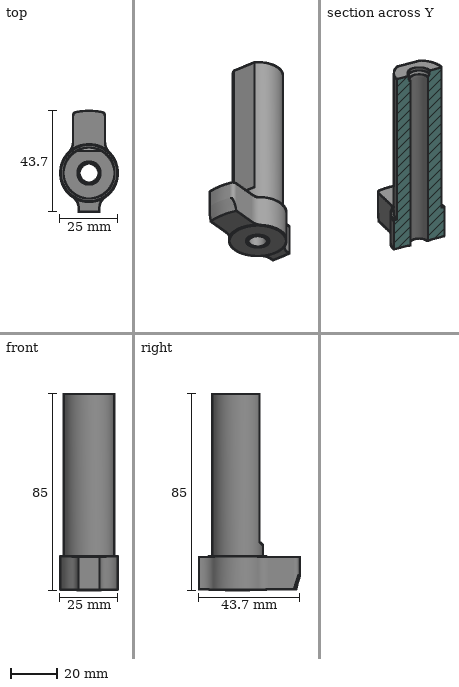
import cadquery as cq
import math

total_height = 85.0

shaft_radius = 11.0
shaft_flat_y = 9.5
flat_end_z = 20.9
flat_runout_angle = 40.0

collar_radius = 12.5
collar_bottom_z = 0.2
collar_top_z = 15.0
collar_chamfer = 0.3

arm_inset = 0.5
arm_bottom_z = 0.5
arm_top_z = collar_top_z - arm_inset
arm_root_radius = 6.0

lever_width = 14.0
lever_tip_radius = 27.0
lever_corner_radius = 2.0
lever_taper_top_z = 6.7
lever_taper_angle = 15.0

stub_width = 9.0
stub_length = 16.74

foot_radius = 5.0

bore_radius = 4.1
mouth_radius = 5.0
throat_radius = 4.2
mouth_depth = 1.6
throat_depth = 3.0
taper_end_depth = 4.5

cut_clearance = 1.0


def cylinder(radius, bottom_z, top_z):
    """Upright cylinder on the shaft axis."""
    return cq.Workplane("XY").workplane(offset=bottom_z).circle(radius).extrude(top_z - bottom_z)


def make_shaft():
    """Round shaft with a flat on +Y that runs out on a slope above the collar."""
    shaft = cylinder(shaft_radius, collar_bottom_z, total_height)
    clear_y = shaft_radius + cut_clearance
    runout_drop = (clear_y - shaft_flat_y) * math.tan(math.radians(flat_runout_angle))
    flat_cutter = (
        cq.Workplane("YZ")
        .moveTo(shaft_flat_y, flat_end_z)
        .lineTo(clear_y, flat_end_z - runout_drop)
        .lineTo(clear_y, total_height)
        .lineTo(shaft_flat_y, total_height)
        .close()
        .extrude(shaft_radius, both=True)
    )
    return shaft.cut(flat_cutter)


def make_collar():
    """Collar with chamfered rims, plus the low pad under it."""
    collar = cylinder(collar_radius, collar_bottom_z, collar_top_z)
    collar = collar.faces("|Z").chamfer(collar_chamfer)
    return collar.union(cylinder(foot_radius, 0.0, collar_bottom_z))


def make_arm(width, length, side):
    """Straight arm from the axis toward side * Y, blended into the collar by tangent concave arcs."""
    half_width = width / 2
    blend_x = half_width + arm_root_radius
    blend_y = math.sqrt((collar_radius + arm_root_radius) ** 2 - blend_x ** 2)
    to_collar = collar_radius / (collar_radius + arm_root_radius)
    touch_x = blend_x * to_collar
    touch_y = blend_y * to_collar
    mid_angle = (math.pi + math.atan2(-blend_y, -blend_x) + 2 * math.pi) / 2
    mid_x = blend_x + arm_root_radius * math.cos(mid_angle)
    mid_y = blend_y + arm_root_radius * math.sin(mid_angle)
    return (
        cq.Workplane("XY")
        .workplane(offset=arm_bottom_z)
        .moveTo(0, 0)
        .lineTo(touch_x, side * touch_y)
        .threePointArc((mid_x, side * mid_y), (half_width, side * blend_y))
        .lineTo(half_width, side * length)
        .lineTo(-half_width, side * length)
        .lineTo(-half_width, side * blend_y)
        .threePointArc((-mid_x, side * mid_y), (-touch_x, side * touch_y))
        .close()
        .extrude(arm_top_z - arm_bottom_z)
    )


def make_lever():
    """Long arm with a round tip, rounded corners and a conical lean-in at the lower tip."""
    lever = make_arm(lever_width, lever_tip_radius + cut_clearance, 1)
    lever = lever.intersect(cylinder(lever_tip_radius, arm_bottom_z, arm_top_z))
    tip_corners = cq.selectors.BoxSelector(
        (-lever_width, lever_tip_radius - 2 * lever_corner_radius, arm_bottom_z),
        (lever_width, lever_tip_radius, arm_top_z),
    )
    lever = lever.edges("|Z").edges(tip_corners).fillet(lever_corner_radius)
    taper_inset = (lever_taper_top_z - arm_bottom_z) * math.tan(math.radians(lever_taper_angle))
    tip_envelope = (
        cq.Workplane("XZ")
        .moveTo(0, arm_bottom_z)
        .lineTo(lever_tip_radius - taper_inset, arm_bottom_z)
        .lineTo(lever_tip_radius, lever_taper_top_z)
        .lineTo(lever_tip_radius, arm_top_z)
        .lineTo(0, arm_top_z)
        .close()
        .revolve(360, (0, 0, 0), (0, 1, 0))
    )
    return lever.intersect(tip_envelope)


def make_bore():
    """Through bore with a wide mouth, a steep cone and a slight taper at its top end."""
    return (
        cq.Workplane("XZ")
        .moveTo(0, 0)
        .lineTo(bore_radius, 0)
        .lineTo(bore_radius, total_height - taper_end_depth)
        .lineTo(throat_radius, total_height - throat_depth)
        .lineTo(mouth_radius, total_height - mouth_depth)
        .lineTo(mouth_radius, total_height)
        .lineTo(0, total_height)
        .close()
        .revolve(360, (0, 0, 0), (0, 1, 0))
    )


stub = make_arm(stub_width, stub_length, -1)
body = make_collar().union(make_lever()).union(stub).union(make_shaft())
result = body.cut(make_bore())